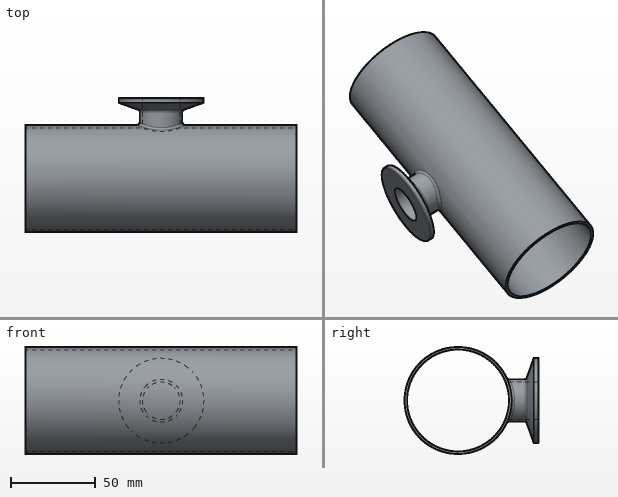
import cadquery as cq
import math

pipe_length = 160.3
pipe_outer_diameter = 63.5
pipe_inner_diameter = 60.1

branch_outer_diameter = 25.3
branch_bore_diameter = 22.1
overall_depth = 79.4
face_y = overall_depth - pipe_outer_diameter / 2

flange_diameter = 50.3
rim_thickness = 2.9
rim_edge_radius = 0.5
cone_angle = 19.8
neck_fillet_radius = 1.1
flange_radius = flange_diameter / 2
neck_radius = branch_outer_diameter / 2
rim_back_y = face_y - rim_thickness
cone_end_y = rim_back_y - (flange_radius - neck_radius) * math.tan(math.radians(cone_angle))
flange_start_y = cone_end_y - neck_fillet_radius

junction_fillet_radius = 1.6

pick_margin = 0.2


def cylinder_x(diameter):
    """Cylinder along X, as long as the pipe."""
    return cq.Workplane("YZ").circle(diameter / 2).extrude(pipe_length / 2, both=True)


def cylinder_y(diameter, length):
    """Cylinder from the pipe axis toward +Y."""
    return cq.Workplane("XZ").circle(diameter / 2).extrude(-length)


def within_y(start_y, end_y):
    """Selector for whole edges of the branch between two Y positions."""
    low_corner = (-flange_radius, start_y, -flange_radius)
    high_corner = (flange_radius, end_y, flange_radius)
    return cq.selectors.BoxSelector(low_corner, high_corner, boundingbox=True)


def clamp_flange():
    """Conical clamp flange with a short length of neck, turned about Y."""
    flange = (
        cq.Workplane("XY")
        .moveTo(0, face_y)
        .lineTo(flange_radius, face_y)
        .lineTo(flange_radius, rim_back_y)
        .lineTo(neck_radius, cone_end_y)
        .lineTo(neck_radius, flange_start_y)
        .lineTo(0, flange_start_y)
        .close()
        .revolve(360, (0, 0, 0), (0, 1, 0))
    )
    cone_end = within_y(cone_end_y - pick_margin, cone_end_y + pick_margin)
    flange = flange.edges(cone_end).fillet(neck_fillet_radius)
    return flange.faces(">Y").edges().fillet(rim_edge_radius)


def branched_body():
    """Solid pipe and branch neck with the blend where they meet."""
    pipe = cylinder_x(pipe_outer_diameter)
    neck = cylinder_y(branch_outer_diameter, flange_start_y)
    junction = within_y(0, flange_start_y - pick_margin)
    return pipe.union(neck).edges(junction).fillet(junction_fillet_radius)


result = branched_body().union(clamp_flange())

result = result.cut(cylinder_x(pipe_inner_diameter))
result = result.cut(cylinder_y(branch_bore_diameter, face_y))